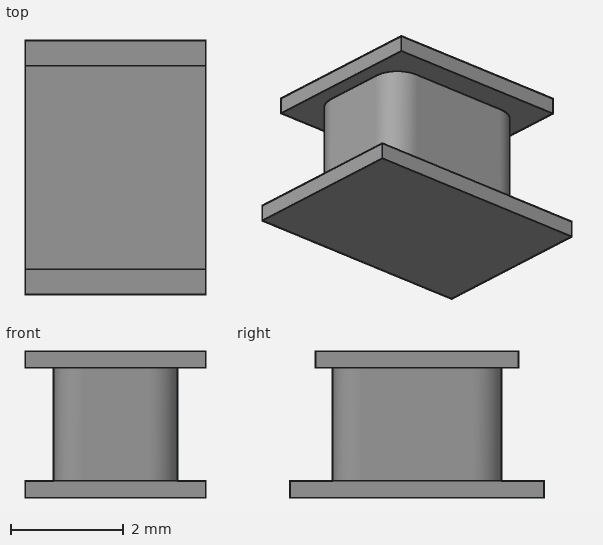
import cadquery as cq

flange_width = 3.2
base_length = 4.5
top_length = 3.6
flange_thickness = 0.3
core_width = 2.2
core_length = 3.0
core_corner_radius = 0.5
total_height = 2.6
core_height = total_height - 2 * flange_thickness


def plate(width, length, height, bottom_z):
    """Rectangular block centred on the Z axis, standing on bottom_z."""
    return (
        cq.Workplane("XY")
        .workplane(offset=bottom_z)
        .rect(width, length)
        .extrude(height)
    )


base_flange = plate(flange_width, base_length, flange_thickness, 0)
core = plate(core_width, core_length, core_height, flange_thickness)
core = core.edges("|Z").fillet(core_corner_radius)
top_flange = plate(flange_width, top_length, flange_thickness, total_height - flange_thickness)

result = base_flange.union(core).union(top_flange)